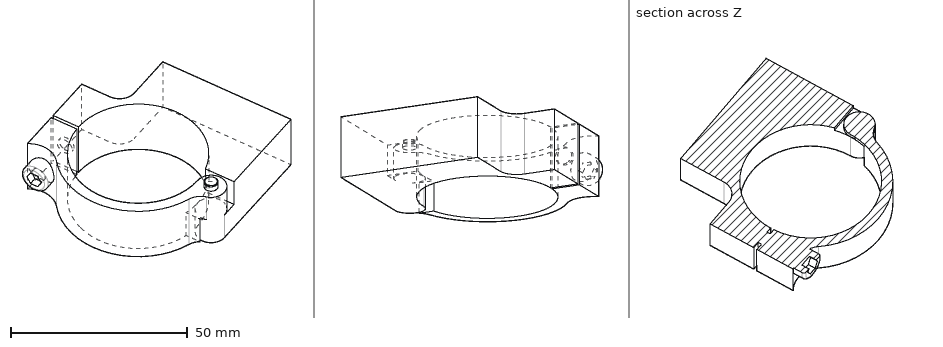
import cadquery as cq
import math


height = 18.0
mid_height = height / 2
bore_radius = 20.0
arm_radius = 23.3
jaw_gap = 1.0

block_left = -14.1
block_back = 34.95
jaw_left = -28.55
jaw_back = 15.0
block_fillet = 5.0

lug_radius = 4.5
hinge_x = bore_radius + lug_radius
block_right = hinge_x + lug_radius
hinge_clearance = 0.6
notch_reach = lug_radius + hinge_clearance
lug_fillet = 5.5
pin_diameter = 4.0
pin_protrusion = 2.0
pin_chamfer = 0.25

screw_x = -24.0
shank_diameter = 5.0
head_diameter = 8.5
head_front = -17.05
head_rounding = 0.75
hex_flats = 4.15
hex_depth = 2.35
head_relief_radius = 8.0

relief_y = -math.sqrt((arm_radius + head_relief_radius) ** 2 - screw_x ** 2)
relief_top = relief_y + head_relief_radius


def cylinder(x, y, radius, length=height):
    return cq.Workplane("XY").center(x, y).circle(radius).extrude(length)


def box(x_min, x_max, y_min, y_max, z_min=0, z_max=height):
    size = (x_max - x_min, y_max - y_min, z_max - z_min)
    corner = (x_min, y_min, z_min)
    return cq.Workplane("XY").box(*size, centered=False).translate(corner)


def hinge_lug():
    return cylinder(hinge_x, 0, lug_radius)


def mounting_block():
    block = (
        cq.Workplane("XY")
        .moveTo(jaw_left, 0)
        .lineTo(block_right, 0)
        .lineTo(block_right, block_back)
        .lineTo(block_left, block_back)
        .lineTo(block_left, jaw_back + block_fillet)
        .radiusArc((block_left - block_fillet, jaw_back), block_fillet)
        .lineTo(jaw_left, jaw_back)
        .close()
        .extrude(height)
    )
    hinge_notch = box(0, block_right, -notch_reach, notch_reach, mid_height, height)
    return block.union(hinge_lug()).cut(cylinder(0, 0, bore_radius)).cut(hinge_notch)


def lug_web():
    """Fill between arm and lug, bounded by an arc tangent to both."""
    to_arm = arm_radius + lug_fillet
    to_lug = lug_radius + lug_fillet
    angle = math.acos((to_arm ** 2 + hinge_x ** 2 - to_lug ** 2) / (2 * to_arm * hinge_x))
    center_x = to_arm * math.cos(angle)
    center_y = -to_arm * math.sin(angle)
    arm_share = arm_radius / to_arm
    lug_share = lug_radius / to_lug
    arm_tangent = (center_x * arm_share, center_y * arm_share)
    lug_tangent = (hinge_x + (center_x - hinge_x) * lug_share, center_y * lug_share)
    corners = [(bore_radius, 0), arm_tangent, (center_x, center_y), lug_tangent, (hinge_x, 0)]
    web = cq.Workplane("XY").polyline(corners).close().extrude(height)
    return web.cut(cylinder(center_x, center_y, lug_fillet))


def clamp_arm():
    arm = cylinder(0, 0, arm_radius).cut(box(-arm_radius, arm_radius, 0, arm_radius))
    jaw_front = relief_y * arm_radius / (arm_radius + head_relief_radius)
    jaw_right = screw_x * arm_radius / (arm_radius + head_relief_radius)
    arm = arm.union(box(jaw_left, jaw_right, jaw_front, 0))
    arm = arm.cut(cylinder(screw_x, relief_y, head_relief_radius))
    arm = arm.cut(box(jaw_left, 0, -jaw_gap, 0))
    arm = arm.union(lug_web()).union(hinge_lug()).cut(cylinder(0, 0, bore_radius))
    return arm.cut(box(0, block_right, -notch_reach, notch_reach, 0, mid_height))


def hinge_pin():
    pin = cylinder(hinge_x, 0, pin_diameter / 2, height + pin_protrusion)
    return pin.faces(">Z").chamfer(pin_chamfer)


def clamping_screw():
    """Socket head screw along Y, its shank running into the block's jaw."""
    seat_depth = relief_top - head_front
    front_plane = cq.Workplane("XZ", origin=(screw_x, head_front, mid_height))
    head = front_plane.circle(head_diameter / 2).extrude(-seat_depth)
    head = head.faces("<Y").edges().fillet(head_rounding)
    hex_corners = hex_flats / math.cos(math.pi / 6)
    socket = front_plane.polygon(6, hex_corners).extrude(-hex_depth)
    shank_length = jaw_back / 2 - relief_top
    shank = (
        cq.Workplane("XZ", origin=(screw_x, relief_top, mid_height))
        .circle(shank_diameter / 2)
        .extrude(-shank_length)
    )
    return head.cut(socket).union(shank)


result = mounting_block().union(clamp_arm()).union(hinge_pin()).union(clamping_screw())